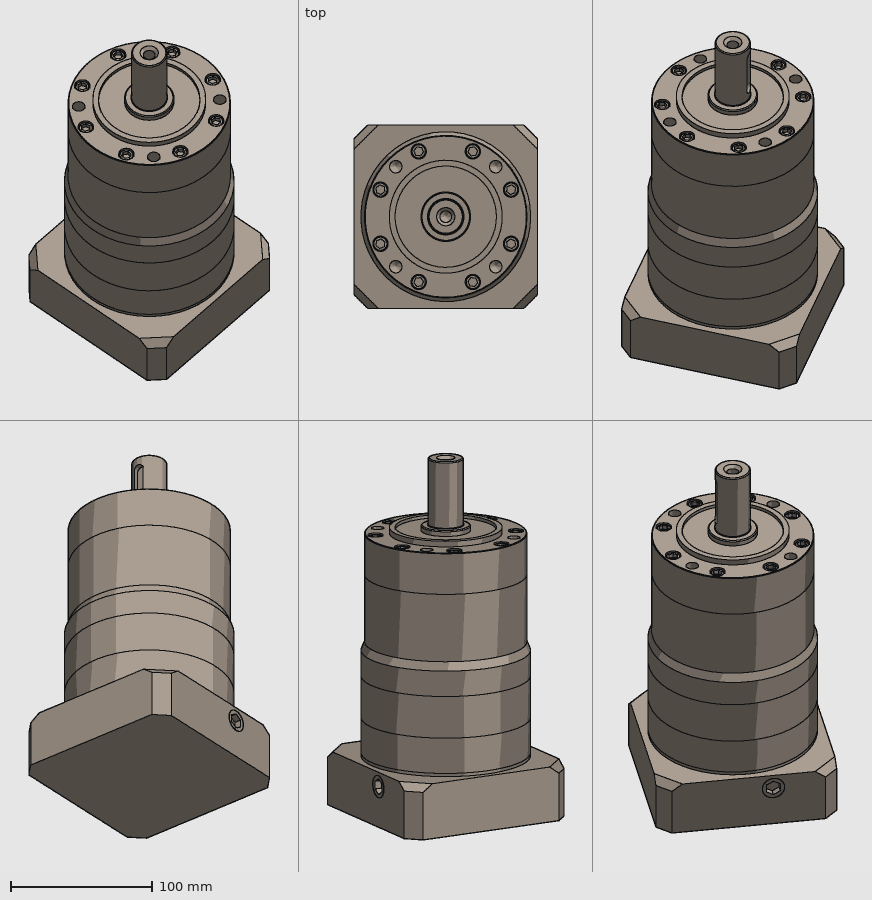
import cadquery as cq
import math

BASE_TOP = 40.2
INPUT_BOTTOM = 42.5
RING_BOTTOM = 68.4
GEAR_CASE_BOTTOM = 98.8
TAPER_BOTTOM = 117.5
TAPER_TOP = 123.5
OUTPUT_BOTTOM = 172.9
OUTPUT_TOP = 203.0
PILOT_TOP = 207.2
PILOT_FLOOR = 204.9
COLLAR_TOP = 209.0
SHAFT_TOP = 258.0

BASE_WIDTH = 130.0
CORNER_CUT = 9.8
TOP_CORNER_CUT = 17.3
CORNER_BEVEL_HEIGHT = 5.5

PLUG_Y = -17.8
PLUG_Z = 29.7
PLUG_RADIUS = 8.0
PLUG_SETBACK = 0.3
PLUG_HEX_FLATS = 9.8
PLUG_HEX_DEPTH = 5.2

LARGE_RADIUS = 60.0
SMALL_RADIUS = 57.5
OUTPUT_CHAMFER = 0.5

PILOT_RADIUS = 40.0
PILOT_INNER_RADIUS = 35.9
COLLAR_RADIUS = 17.5
COLLAR_CHAMFER = 0.8

SHAFT_DIAMETER = 25.0
SHAFT_RADIUS = SHAFT_DIAMETER / 2
SHAFT_FOOT_RADIUS = 13.0
SHAFT_FOOT_HEIGHT = 0.5
SHAFT_CHAMFER = 0.8
CENTRE_RIM_RADIUS = 6.5
CENTRE_HOLE_RADIUS = 4.0
CENTRE_HOLE_DEPTH = 25.8
COUNTERSINK_HALF_ANGLE = 45
KEYWAY_WIDTH = 8.0
KEYWAY_DEPTH = 4.0
KEYWAY_BOTTOM = 214.5
KEYWAY_TOP = 251.3

BOLT_CIRCLE_RADIUS = 50.0
MOUNT_HOLE_COUNT = 4
MOUNT_HOLE_RADIUS = 4.5
MOUNT_HOLE_DEPTH = 20.0
DRILL_TIP_HALF_ANGLE = 59
SCREW_COUNT = 8
SCREW_POCKET_RADIUS = 5.5
SCREW_POCKET_DEPTH = 2.0
SCREW_HEAD_RADIUS = 4.6
SCREW_HEAD_SETBACK = 0.8
SCREW_HEX_FLATS = 6.0
SCREW_HEX_DEPTH = 3.0


def disc(radius, bottom, top):
    """Solid cylinder on the gearbox axis."""
    return cq.Workplane("XY").workplane(offset=bottom).circle(radius).extrude(top - bottom)


def revolved(points):
    """Solid of revolution about Z from (radius, height) points."""
    return cq.Workplane("XZ").polyline(points).close().revolve(360, (0, 0), (0, 1))


def hex_diameter(across_flats):
    """Corner-to-corner size of a hexagon."""
    return across_flats / math.cos(math.radians(30))


def on_bolt_circle(feature, count):
    """Equal copies of a feature, the first half a pitch away from +X."""
    pitch = 360 / count
    start = feature.translate((BOLT_CIRCLE_RADIUS, 0, 0))
    return [start.rotate((0, 0, 0), (0, 0, 1), (i + 0.5) * pitch) for i in range(count)]


def corner_bevel():
    """Wedge that bevels the top of the base corner in the +X +Y direction."""
    half_diagonal = BASE_WIDTH / math.sqrt(2)
    outer = half_diagonal - CORNER_CUT / math.sqrt(2)
    inner = half_diagonal - TOP_CORNER_CUT / math.sqrt(2)
    wedge = (
        cq.Workplane("XZ")
        .polyline([(inner, BASE_TOP), (outer, BASE_TOP), (outer, BASE_TOP - CORNER_BEVEL_HEIGHT)])
        .close()
        .extrude(BASE_WIDTH / 2, both=True)
    )
    return wedge.rotate((0, 0, 0), (0, 0, 1), 45)


def plug_recess():
    """Shallow round recess with a hexagon socket in its floor."""
    side = cq.Workplane("YZ", origin=(-BASE_WIDTH / 2, PLUG_Y, PLUG_Z))
    face = side.circle(PLUG_RADIUS).extrude(PLUG_SETBACK)
    socket = (
        side.transformed(rotate=(0, 0, 90))
        .polygon(6, hex_diameter(PLUG_HEX_FLATS))
        .extrude(PLUG_SETBACK + PLUG_HEX_DEPTH)
    )
    return face.union(socket)


def make_base():
    """Square mounting base with a low round seat for the housing."""
    base = cq.Workplane("XY").rect(BASE_WIDTH, BASE_WIDTH).extrude(BASE_TOP)
    base = base.edges("|Z").chamfer(CORNER_CUT)
    for i in range(4):
        base = base.cut(corner_bevel().rotate((0, 0, 0), (0, 0, 1), 90 * i))
    base = base.cut(plug_recess())
    return base.union(disc(LARGE_RADIUS, BASE_TOP, INPUT_BOTTOM))


def make_gear_case():
    """Housing section that tapers from the large to the small diameter."""
    return revolved([
        (0, GEAR_CASE_BOTTOM),
        (LARGE_RADIUS, GEAR_CASE_BOTTOM),
        (LARGE_RADIUS, TAPER_BOTTOM),
        (SMALL_RADIUS, TAPER_TOP),
        (SMALL_RADIUS, OUTPUT_BOTTOM),
        (0, OUTPUT_BOTTOM),
    ])


def drilled_hole(radius, depth, top):
    """Blind hole with a conical drill tip."""
    tip = radius / math.tan(math.radians(DRILL_TIP_HALF_ANGLE))
    return revolved([
        (0, top),
        (radius, top),
        (radius, top - depth),
        (0, top - depth - tip),
    ])


def screw_pocket():
    """Counterbore around a screw head, with the head's hexagon socket."""
    head_top = OUTPUT_TOP - SCREW_HEAD_SETBACK
    pocket = disc(SCREW_POCKET_RADIUS, OUTPUT_TOP - SCREW_POCKET_DEPTH, OUTPUT_TOP)
    head = disc(SCREW_HEAD_RADIUS, OUTPUT_TOP - SCREW_POCKET_DEPTH, head_top)
    socket = (
        cq.Workplane("XY")
        .workplane(offset=head_top)
        .polygon(6, hex_diameter(SCREW_HEX_FLATS))
        .extrude(-SCREW_HEX_DEPTH)
    )
    return pocket.cut(head).union(socket)


def make_shaft():
    """Output shaft with a shouldered foot, centre hole and closed keyway on the +Y side."""
    shaft = disc(SHAFT_RADIUS, PILOT_FLOOR, SHAFT_TOP).faces(">Z").edges().chamfer(SHAFT_CHAMFER)
    shaft = shaft.cut(drilled_hole(CENTRE_HOLE_RADIUS, CENTRE_HOLE_DEPTH, SHAFT_TOP))
    sink = (CENTRE_RIM_RADIUS - CENTRE_HOLE_RADIUS) / math.tan(math.radians(COUNTERSINK_HALF_ANGLE))
    shaft = shaft.cut(revolved([
        (0, SHAFT_TOP),
        (CENTRE_RIM_RADIUS, SHAFT_TOP),
        (CENTRE_HOLE_RADIUS, SHAFT_TOP - sink),
        (0, SHAFT_TOP - sink),
    ]))
    foot = disc(SHAFT_FOOT_RADIUS, PILOT_FLOOR, COLLAR_TOP + SHAFT_FOOT_HEIGHT)
    keyway = (
        cq.Workplane("XZ", origin=(0, SHAFT_RADIUS, (KEYWAY_BOTTOM + KEYWAY_TOP) / 2))
        .slot2D(KEYWAY_TOP - KEYWAY_BOTTOM, KEYWAY_WIDTH, 90)
        .extrude(KEYWAY_DEPTH)
    )
    return shaft.cut(keyway).union(foot)


def make_output():
    """Output flange with its pilot ring, collar, shaft, screw heads and mounting holes."""
    flange = disc(SMALL_RADIUS, OUTPUT_BOTTOM, OUTPUT_TOP).faces(">Z").edges().chamfer(OUTPUT_CHAMFER)
    pilot = disc(PILOT_RADIUS, OUTPUT_TOP, PILOT_TOP)
    collar = disc(COLLAR_RADIUS, PILOT_FLOOR, COLLAR_TOP).faces(">Z").edges().chamfer(COLLAR_CHAMFER)
    output = flange.union(pilot)
    output = output.cut(disc(PILOT_INNER_RADIUS, PILOT_FLOOR, PILOT_TOP))
    output = output.union(collar).union(make_shaft())
    for pocket in on_bolt_circle(screw_pocket(), SCREW_COUNT):
        output = output.cut(pocket)
    mount_hole = drilled_hole(MOUNT_HOLE_RADIUS, MOUNT_HOLE_DEPTH, OUTPUT_TOP)
    for hole in on_bolt_circle(mount_hole, MOUNT_HOLE_COUNT):
        output = output.cut(hole)
    return output


base = make_base()
input_case = disc(LARGE_RADIUS, INPUT_BOTTOM, RING_BOTTOM)
ring_gear = disc(LARGE_RADIUS, RING_BOTTOM, GEAR_CASE_BOTTOM)
gear_case = make_gear_case()
output = make_output()

result = cq.Compound.makeCompound([
    base.val(),
    input_case.val(),
    ring_gear.val(),
    gear_case.val(),
    output.val(),
])